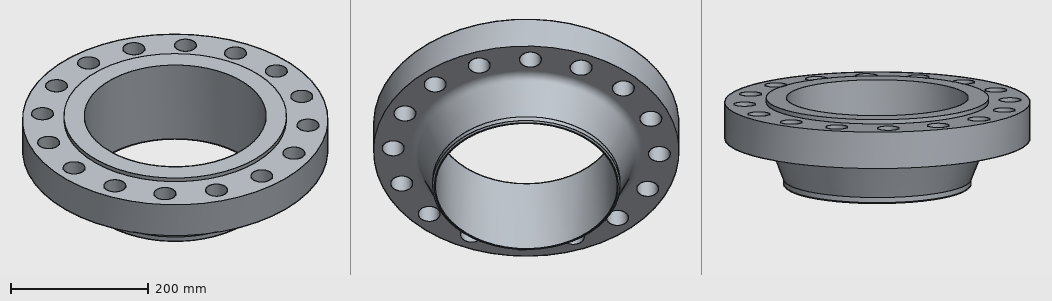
import cadquery as cq
import math

FLANGE_DIAMETER = 444.5
FLANGE_THICKNESS = 53.98
RAISED_FACE_DIAMETER = 323.85
RAISED_FACE_HEIGHT = 6.35
OVERALL_HEIGHT = 130.18

HUB_BASE_DIAMETER = 320.7
PIPE_DIAMETER = 273.05
PIPE_WALL = 4.19
PIPE_END_LENGTH = 9.5
HUB_FILLET_RADIUS = 12.7
BORE_DIAMETER = PIPE_DIAMETER - 2 * PIPE_WALL

WELD_ROOT_FACE = 1.59
WELD_BEVEL_ANGLE = 37.5
WELD_BEVEL_WIDTH = PIPE_WALL - WELD_ROOT_FACE
WELD_BEVEL_HEIGHT = WELD_BEVEL_WIDTH * math.tan(math.radians(WELD_BEVEL_ANGLE))

BOLT_COUNT = 16
BOLT_CIRCLE_DIAMETER = 387.35
BOLT_HOLE_DIAMETER = 31.75

FLANGE_TOP = OVERALL_HEIGHT - RAISED_FACE_HEIGHT
FLANGE_BOTTOM = FLANGE_TOP - FLANGE_THICKNESS


def flange_body():
    """Revolved ring: pipe end, tapered hub, flange and raised face around the bore."""
    bore_radius = BORE_DIAMETER / 2
    pipe_radius = PIPE_DIAMETER / 2
    hub_radius = HUB_BASE_DIAMETER / 2
    flange_radius = FLANGE_DIAMETER / 2
    face_radius = RAISED_FACE_DIAMETER / 2
    return (
        cq.Workplane("XZ")
        .moveTo(bore_radius, 0)
        .lineTo(pipe_radius - WELD_BEVEL_WIDTH, 0)
        .lineTo(pipe_radius, WELD_BEVEL_HEIGHT)
        .lineTo(pipe_radius, PIPE_END_LENGTH)
        .lineTo(hub_radius, FLANGE_BOTTOM)
        .lineTo(flange_radius, FLANGE_BOTTOM)
        .lineTo(flange_radius, FLANGE_TOP)
        .lineTo(face_radius, FLANGE_TOP)
        .lineTo(face_radius, OVERALL_HEIGHT)
        .lineTo(bore_radius, OVERALL_HEIGHT)
        .close()
        .revolve(360, (0, 0, 0), (0, 1, 0))
    )


def fillet_hub(body):
    """Round the corner where the hub meets the underside of the flange."""
    hub_radius = HUB_BASE_DIAMETER / 2
    margin = 1.0
    reach = hub_radius + margin
    hub_edge = cq.selectors.BoxSelector(
        (-reach, -reach, FLANGE_BOTTOM - margin),
        (reach, reach, FLANGE_BOTTOM + margin),
        boundingbox=True,
    )
    return body.edges(hub_edge).fillet(HUB_FILLET_RADIUS)


def bolt_holes():
    """Cylinders through the flange, the first one on the +X axis."""
    return (
        cq.Workplane("XY")
        .workplane(offset=FLANGE_BOTTOM)
        .polarArray(BOLT_CIRCLE_DIAMETER / 2, 0, 360, BOLT_COUNT)
        .circle(BOLT_HOLE_DIAMETER / 2)
        .extrude(FLANGE_THICKNESS)
    )


result = fillet_hub(flange_body()).cut(bolt_holes())